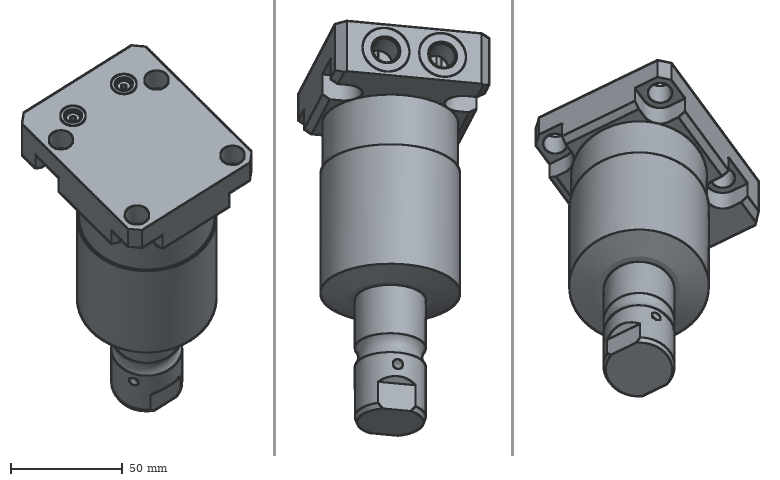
import cadquery as cq
import math

TOTAL_HEIGHT = 173.4
PLATE_LENGTH = 85.5
PLATE_WIDTH = 70.9
PLATE_THICKNESS = 25.0
PLATE_LEFT = -50.0
CORNER_CHAMFER = 4.5
EDGE_CHAMFER_INSET = 3.5
EDGE_CHAMFER_HEIGHT = 2.0
SEAL_PROTRUSION = 0.5
PLATE_RIGHT = PLATE_LEFT + PLATE_LENGTH
PLATE_MID_X = (PLATE_LEFT + PLATE_RIGHT) / 2
PLATE_TOP = TOTAL_HEIGHT - SEAL_PROTRUSION
PLATE_BOTTOM = PLATE_TOP - PLATE_THICKNESS

MOUNT_OFFSET = 27.4
MOUNT_DIAMETER = 11.0
NOTCH_WIDTH = 16.6
NOTCH_HEIGHT = 12.0
NOTCH_RADIUS = NOTCH_WIDTH / 2

PORT_OFFSET = 13.0
PORT_HEIGHT = 160.4
PORT_DIAMETER = 11.8
PORT_DEPTH = 14.4
PORT_CHAMFER_INSET = 0.7
PORT_CHAMFER_DEPTH = 0.7
SPOTFACE_DIAMETER = 21.5
SPOTFACE_DEPTH = 0.2

INLET_OFFSET = 14.5
INLET_DIAMETER = 2.6
INLET_BEYOND_PORT = 0.7
INLET_X = PLATE_LEFT + PORT_DEPTH + INLET_BEYOND_PORT
INLET_BELOW_PORT = 2.0
INLET_BOTTOM = PORT_HEIGHT - INLET_BELOW_PORT
SEAL_OUTER_RADIUS = 5.7
SEAL_TUBE_RADIUS = 0.9
SEAL_SEATING = 0.2
INLET_STEP_RADIUS = 3.3
INLET_STEP_DEPTH = 2.0
SEAL_RING_RADIUS = SEAL_OUTER_RADIUS - SEAL_TUBE_RADIUS
SEAL_RECESS_DEPTH = 2 * SEAL_TUBE_RADIUS - SEAL_PROTRUSION - SEAL_SEATING

COLLAR_RADIUS = 30.5
COLLAR_LENGTH = 25.0
COLLAR_BOTTOM = PLATE_BOTTOM - COLLAR_LENGTH
BODY_RADIUS = 31.4
BODY_BOTTOM = 63.8
CONE_END_RADIUS = 18.7
CONE_BOTTOM = 60.5
STEM_RADIUS = 16.0
GROOVE_TOP = 36.5
GROOVE_BOTTOM = 27.2
GROOVE_DEPTH = 1.5
TIP_CHAMFER_HEIGHT = 2.6
TIP_CHAMFER_INSET = 1.0

ACROSS_FLATS = 26.9
FLAT_DISTANCE = ACROSS_FLATS / 2
FLAT_TOP = 13.0
FLAT_RUNOUT = STEM_RADIUS - FLAT_DISTANCE
DETENT_HEIGHT = 21.5
DETENT_RADIUS = 2.5
DETENT_COUNT = 3


def make_plate():
    """Plate with cut corners and a bevel along the lower -Y, +Y and +X edges."""
    plate = (
        cq.Workplane("XY", origin=(PLATE_MID_X, 0, PLATE_BOTTOM))
        .box(PLATE_LENGTH, PLATE_WIDTH, PLATE_THICKNESS, centered=(True, True, False))
        .edges("|Z")
        .chamfer(CORNER_CHAMFER)
    )
    half_width = PLATE_WIDTH / 2
    side_bevel = (
        cq.Workplane("YZ", origin=(PLATE_LEFT, 0, 0))
        .moveTo(-half_width, PLATE_BOTTOM)
        .line(EDGE_CHAMFER_INSET, 0)
        .line(-EDGE_CHAMFER_INSET, EDGE_CHAMFER_HEIGHT)
        .close()
        .extrude(PLATE_LENGTH)
    )
    end_bevel = (
        cq.Workplane("XZ", origin=(0, half_width, 0))
        .moveTo(PLATE_RIGHT, PLATE_BOTTOM)
        .line(-EDGE_CHAMFER_INSET, 0)
        .line(EDGE_CHAMFER_INSET, EDGE_CHAMFER_HEIGHT)
        .close()
        .extrude(PLATE_WIDTH)
    )
    return plate.cut(side_bevel).cut(side_bevel.mirror("XZ")).cut(end_bevel)


def make_notch_block(left, right, near, far):
    """Box of notch height standing on the plate's lower face."""
    return (
        cq.Workplane("XY", origin=(left, near, PLATE_BOTTOM))
        .box(right - left, far - near, NOTCH_HEIGHT, centered=False)
    )


def make_notches():
    """Round-ended slots open to -Y; the one near +X also opens to +X."""
    outside = -PLATE_WIDTH / 2
    notches = (
        cq.Workplane("XY", origin=(0, 0, PLATE_BOTTOM))
        .pushPoints([(-MOUNT_OFFSET, -MOUNT_OFFSET), (MOUNT_OFFSET, -MOUNT_OFFSET)])
        .circle(NOTCH_RADIUS)
        .extrude(NOTCH_HEIGHT)
    )
    for x in (-MOUNT_OFFSET, MOUNT_OFFSET):
        arm = make_notch_block(x - NOTCH_RADIUS, x + NOTCH_RADIUS, outside, -MOUNT_OFFSET)
        notches = notches.union(arm)
    corner = make_notch_block(MOUNT_OFFSET, PLATE_RIGHT, outside, NOTCH_RADIUS - MOUNT_OFFSET)
    return notches.union(corner)


def make_turned_body():
    """Collar, body, cone and grooved stem as one revolved profile."""
    groove_middle = (GROOVE_TOP + GROOVE_BOTTOM) / 2
    return (
        cq.Workplane("XZ")
        .moveTo(0, 0)
        .lineTo(STEM_RADIUS - TIP_CHAMFER_INSET, 0)
        .lineTo(STEM_RADIUS, TIP_CHAMFER_HEIGHT)
        .lineTo(STEM_RADIUS, GROOVE_BOTTOM)
        .threePointArc((STEM_RADIUS - GROOVE_DEPTH, groove_middle), (STEM_RADIUS, GROOVE_TOP))
        .lineTo(STEM_RADIUS, CONE_BOTTOM)
        .lineTo(CONE_END_RADIUS, CONE_BOTTOM)
        .lineTo(BODY_RADIUS, BODY_BOTTOM)
        .lineTo(BODY_RADIUS, COLLAR_BOTTOM)
        .lineTo(COLLAR_RADIUS, COLLAR_BOTTOM)
        .lineTo(COLLAR_RADIUS, PLATE_BOTTOM)
        .lineTo(0, PLATE_BOTTOM)
        .close()
        .revolve(360, (0, 0, 0), (0, 1, 0))
    )


def make_flat_cutter():
    """Wrench flat on the +X side of the stem with a 45 degree run-out at its top."""
    return (
        cq.Workplane("XZ", origin=(0, STEM_RADIUS, 0))
        .moveTo(FLAT_DISTANCE, 0)
        .lineTo(FLAT_DISTANCE, FLAT_TOP)
        .line(FLAT_RUNOUT, FLAT_RUNOUT)
        .lineTo(STEM_RADIUS, 0)
        .close()
        .extrude(2 * STEM_RADIUS)
    )


def make_detent(angle):
    """90 degree conical dimple in the stem, pointing at the axis."""
    direction = math.radians(angle)
    outward = cq.Vector(math.cos(direction), math.sin(direction), 0)
    mouth = outward * STEM_RADIUS + cq.Vector(0, 0, DETENT_HEIGHT)
    tip = mouth - outward * DETENT_RADIUS
    cone_height = 2 * DETENT_RADIUS
    cone = cq.Solid.makeCone(0, cone_height, cone_height, tip, outward)
    return cq.Workplane(obj=cone)


def make_port(y):
    """Blind port with a countersunk mouth and a shallow spotface."""
    face = cq.Workplane("YZ", origin=(PLATE_LEFT, y, PORT_HEIGHT))
    bore = face.circle(PORT_DIAMETER / 2).extrude(PORT_DEPTH)
    spotface = face.circle(SPOTFACE_DIAMETER / 2).extrude(SPOTFACE_DEPTH)
    mouth = cq.Solid.makeCone(
        PORT_DIAMETER / 2 + PORT_CHAMFER_INSET,
        PORT_DIAMETER / 2,
        PORT_CHAMFER_DEPTH,
        cq.Vector(PLATE_LEFT + SPOTFACE_DEPTH, y, PORT_HEIGHT),
        cq.Vector(1, 0, 0),
    )
    return bore.union(spotface).union(cq.Workplane(obj=mouth))


def make_inlet(y):
    """Narrow vertical hole below a round seal recess and a smaller step."""
    recess = (
        cq.Workplane("XY", origin=(INLET_X, y, PLATE_TOP))
        .circle(SEAL_OUTER_RADIUS)
        .extrude(-SEAL_RECESS_DEPTH)
    )
    drilling = (
        cq.Workplane("XY", origin=(INLET_X, y, INLET_BOTTOM))
        .circle(INLET_DIAMETER / 2)
        .extrude(PLATE_TOP - INLET_BOTTOM)
    )
    step = (
        cq.Workplane("XY", origin=(INLET_X, y, PLATE_TOP))
        .circle(INLET_STEP_RADIUS)
        .extrude(-INLET_STEP_DEPTH)
    )
    return recess.union(step).union(drilling)


def make_seal(y):
    """Round-section ring seated in an inlet recess, standing slightly proud of the plate."""
    centre = cq.Vector(INLET_X, y, TOTAL_HEIGHT - SEAL_TUBE_RADIUS)
    ring = cq.Solid.makeTorus(SEAL_RING_RADIUS, SEAL_TUBE_RADIUS, centre, cq.Vector(0, 0, 1))
    return cq.Workplane(obj=ring)


notches = make_notches()
plate = make_plate().cut(notches).cut(notches.mirror("XZ"))
mounting_holes = (
    cq.Workplane("XY", origin=(0, 0, PLATE_BOTTOM))
    .rect(2 * MOUNT_OFFSET, 2 * MOUNT_OFFSET, forConstruction=True)
    .vertices()
    .circle(MOUNT_DIAMETER / 2)
    .extrude(PLATE_THICKNESS)
)
plate = plate.cut(mounting_holes)
for side in (-1, 1):
    plate = plate.cut(make_port(side * PORT_OFFSET))
    plate = plate.cut(make_inlet(side * INLET_OFFSET))
    plate = plate.union(make_seal(side * INLET_OFFSET))

flat = make_flat_cutter()
body = make_turned_body().cut(flat).cut(flat.mirror("YZ"))
for index in range(DETENT_COUNT):
    body = body.cut(make_detent(180 + index * 360 / DETENT_COUNT))

result = plate.union(body)